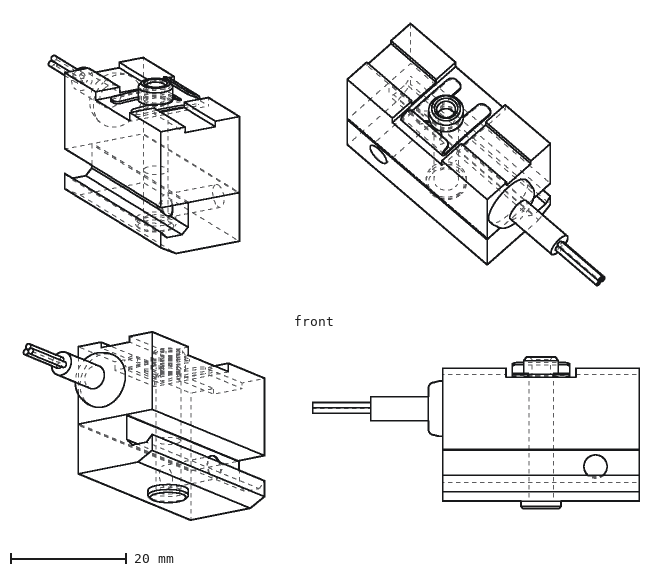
import cadquery as cq
import math


TOTAL_LENGTH = 56.5
BLOCK_LENGTH = 34.0
BLOCK_WIDTH = 15.6
BLOCK_HEIGHT = 23.0
BASE_HEIGHT = 9.0
BLOCK_START = TOTAL_LENGTH - BLOCK_LENGTH
BLOCK_CENTER_X = BLOCK_START + BLOCK_LENGTH / 2

NOTCH_LENGTH = 12.05
NOTCH_DEPTH = 1.5
GROOVE_WIDTH = 6.0
GROOVE_DEPTH = 1.0
NOTCH_FLOOR = BLOCK_HEIGHT - NOTCH_DEPTH

BASE_WALL_Y = 5.35
HOOK_FLOOR_Z = 3.3
HOOK_CHAMFER = 1.2
NOSE_RISE = 1.6
NOSE_RUN = 3.0
BASE_TOP_CHAMFER = 0.15

SCREW_Y = 8.5
SHANK_DIAMETER = 4.3
HEAD_DIAMETER = 6.0
HEAD_TOP_DIAMETER = 5.0
HEAD_CHAMFER_HEIGHT = 0.7
HEAD_PROJECTION = 2.0
HEAD_CLEARANCE = 0.5
SOCKET_DIAMETER = 3.2
SOCKET_RIM_DIAMETER = 4.0
SOCKET_DEPTH = 3.0
FOOT_DIAMETER = 7.0
FOOT_HEIGHT = 1.3
FOOT_CHAMFER = 0.4

POINT_DIAMETER = 4.0
POINT_X = 48.95
POINT_Z = 6.0
POINT_RECESS = 0.1

CLIP_WIDTH = 10.0
CLIP_THICKNESS = 0.4
CLIP_BACK_Y = 14.5
CLIP_FRONT_Y = 2.0
CLIP_BEND_RADIUS = 1.0
CLIP_ARCH = 0.3
CLIP_CORNER_RADIUS = 1.0
LIP_ANGLE = 23.0
LIP_LENGTH = 1.45
SLOT_FRONT_WIDTH = 4.5
WINDOW_BACK_Y = 12.4
WINDOW_SIDE_LENGTH = 0.7
WINDOW_TAPER = 0.85
WINDOW_FRONT_WIDTH = 2.0

CABLE_Y = 10.45
CABLE_DROP = 7.0
CABLE_Z = BLOCK_HEIGHT - CABLE_DROP
SHEATH_DIAMETER = 4.2
WIRE_DIAMETER = 1.0
WIRE_GAP = 0.03
WIRE_LENGTH = 10.0
SHEATH_END = 20.0
GROMMET_DIAMETER = 9.6
GROMMET_FACE_DIAMETER = 7.0
GROMMET_SHOULDER_DIAMETER = 9.15
GROMMET_SHOULDER = 1.0
GROMMET_RIM = 1.85


def make_housing():
    body = cq.Workplane("XY").box(
        BLOCK_LENGTH, BLOCK_WIDTH, BLOCK_HEIGHT - BASE_HEIGHT, centered=False
    ).translate((BLOCK_START, 0, BASE_HEIGHT))
    top_center = (BLOCK_CENTER_X, BLOCK_WIDTH / 2, BLOCK_HEIGHT)
    notch = cq.Workplane("XY").box(NOTCH_LENGTH, BLOCK_WIDTH, 2 * NOTCH_DEPTH).translate(top_center)
    groove = cq.Workplane("XY").box(BLOCK_LENGTH, GROOVE_WIDTH, 2 * GROOVE_DEPTH).translate(top_center)
    return body.cut(notch).cut(groove)


def make_base():
    profile = [
        (BLOCK_WIDTH, 0),
        (NOSE_RUN, 0),
        (0, NOSE_RISE),
        (0, HOOK_FLOOR_Z + HOOK_CHAMFER),
        (HOOK_CHAMFER, HOOK_FLOOR_Z),
        (BASE_WALL_Y - HOOK_CHAMFER, HOOK_FLOOR_Z),
        (BASE_WALL_Y, HOOK_FLOOR_Z + HOOK_CHAMFER),
        (BASE_WALL_Y, BASE_HEIGHT - BASE_TOP_CHAMFER),
        (BASE_WALL_Y + BASE_TOP_CHAMFER, BASE_HEIGHT),
        (BLOCK_WIDTH - BASE_TOP_CHAMFER, BASE_HEIGHT),
        (BLOCK_WIDTH, BASE_HEIGHT - BASE_TOP_CHAMFER),
    ]
    return cq.Workplane("YZ", origin=(BLOCK_START, 0, 0)).polyline(profile).close().extrude(BLOCK_LENGTH)


def make_screw():
    head_top = BLOCK_HEIGHT + HEAD_PROJECTION
    head_bottom = NOTCH_FLOOR + HEAD_CLEARANCE
    rim_depth = (SOCKET_RIM_DIAMETER - SOCKET_DIAMETER) / 2
    half_profile = [
        (0, -FOOT_HEIGHT),
        (FOOT_DIAMETER / 2 - FOOT_CHAMFER, -FOOT_HEIGHT),
        (FOOT_DIAMETER / 2, FOOT_CHAMFER - FOOT_HEIGHT),
        (FOOT_DIAMETER / 2, 0),
        (SHANK_DIAMETER / 2, 0),
        (SHANK_DIAMETER / 2, head_bottom),
        (HEAD_DIAMETER / 2, head_bottom),
        (HEAD_DIAMETER / 2, head_top - HEAD_CHAMFER_HEIGHT),
        (HEAD_TOP_DIAMETER / 2, head_top),
        (SOCKET_RIM_DIAMETER / 2, head_top),
        (SOCKET_DIAMETER / 2, head_top - rim_depth),
        (SOCKET_DIAMETER / 2, head_top - SOCKET_DEPTH),
        (0, head_top - SOCKET_DEPTH),
    ]
    screw = cq.Workplane("XZ").polyline(half_profile).close().revolve(360, (0, 0), (0, 1))
    return screw.translate((BLOCK_CENTER_X, SCREW_Y, 0))


def make_point_screw():
    """Set screw from the back face, with a 90 degree point; its cone starts just inside the hook wall."""
    radius = POINT_DIAMETER / 2
    cone_start_y = BASE_WALL_Y + POINT_RECESS
    half_profile = [
        (0, BLOCK_WIDTH),
        (radius, BLOCK_WIDTH),
        (radius, cone_start_y),
        (0, cone_start_y - radius),
    ]
    screw = cq.Workplane("XY").polyline(half_profile).close().revolve(360, (0, 0), (0, 1))
    return screw.translate((POINT_X, 0, POINT_Z))


def make_point_screw_hole():
    """Bore from the back face that opens in the hook wall."""
    hole = cq.Workplane("XZ", origin=(POINT_X, BLOCK_WIDTH, POINT_Z)).circle(POINT_DIAMETER / 2)
    return hole.extrude(BLOCK_WIDTH - BASE_WALL_Y)


def make_clip_strip():
    """Side profile: arched plate, hairpin bend at the back and a lip leaning over the plate."""
    inner_radius = CLIP_BEND_RADIUS - CLIP_THICKNESS
    bend_y = CLIP_BACK_Y - CLIP_BEND_RADIUS
    bend_z = NOTCH_FLOOR + CLIP_BEND_RADIUS
    plate_top = NOTCH_FLOOR + CLIP_THICKNESS
    arch_y = (CLIP_FRONT_Y + bend_y) / 2
    lip = math.radians(LIP_ANGLE)
    along = (-math.cos(lip), math.sin(lip))
    outward = (math.sin(lip), math.cos(lip))

    def lip_point(radius, distance):
        return (
            bend_y + radius * outward[0] + distance * along[0],
            bend_z + radius * outward[1] + distance * along[1],
        )

    strip = (
        cq.Workplane("YZ", origin=(BLOCK_CENTER_X - CLIP_WIDTH / 2, 0, 0))
        .moveTo(CLIP_FRONT_Y, NOTCH_FLOOR)
        .threePointArc((arch_y, NOTCH_FLOOR + CLIP_ARCH), (bend_y, NOTCH_FLOOR))
        .threePointArc((CLIP_BACK_Y, bend_z), lip_point(CLIP_BEND_RADIUS, 0))
        .lineTo(*lip_point(CLIP_BEND_RADIUS, LIP_LENGTH))
        .lineTo(*lip_point(inner_radius, LIP_LENGTH))
        .lineTo(*lip_point(inner_radius, 0))
        .threePointArc((bend_y + inner_radius, bend_z), (bend_y, plate_top))
        .threePointArc((arch_y, plate_top + CLIP_ARCH), (CLIP_FRONT_Y, plate_top))
        .close()
        .extrude(CLIP_WIDTH)
    )
    lip_tip = lip_point(CLIP_BEND_RADIUS - CLIP_THICKNESS / 2, LIP_LENGTH)
    corner_picker = cq.selectors.BoxSelector(
        (BLOCK_START, lip_tip[0] - CLIP_THICKNESS / 2, lip_tip[1] - CLIP_THICKNESS / 2),
        (TOTAL_LENGTH, lip_tip[0] + CLIP_THICKNESS / 2, lip_tip[1] + CLIP_THICKNESS / 2),
    )
    return strip.edges("not |X").edges(corner_picker).fillet(CLIP_CORNER_RADIUS)


def make_clip():
    cut_height = 2 * CLIP_THICKNESS + CLIP_ARCH
    sketch_plane = cq.Workplane("XY", origin=(BLOCK_CENTER_X, 0, NOTCH_FLOOR))
    shank_radius = SHANK_DIAMETER / 2
    slot = (
        sketch_plane.moveTo(-SLOT_FRONT_WIDTH / 2, CLIP_FRONT_Y)
        .lineTo(-shank_radius, SCREW_Y)
        .threePointArc((0, SCREW_Y + shank_radius), (shank_radius, SCREW_Y))
        .lineTo(SLOT_FRONT_WIDTH / 2, CLIP_FRONT_Y)
        .close()
        .extrude(cut_height)
    )
    window_side_y = WINDOW_BACK_Y - WINDOW_SIDE_LENGTH
    window = (
        sketch_plane.moveTo(-shank_radius, WINDOW_BACK_Y)
        .lineTo(-shank_radius, window_side_y)
        .lineTo(-WINDOW_FRONT_WIDTH / 2, window_side_y - WINDOW_TAPER)
        .lineTo(WINDOW_FRONT_WIDTH / 2, window_side_y - WINDOW_TAPER)
        .lineTo(shank_radius, window_side_y)
        .lineTo(shank_radius, WINDOW_BACK_Y)
        .close()
        .extrude(cut_height)
    )
    clip = make_clip_strip().cut(slot).cut(window)
    return clip.faces("<Y").edges("not |X").fillet(CLIP_CORNER_RADIUS)


def make_cable():
    """Grommet, sheath and three bare wires, made about the X axis and moved into place."""
    shoulder_x = SHEATH_END + GROMMET_SHOULDER
    face_radius = GROMMET_FACE_DIAMETER / 2
    shoulder_radius = GROMMET_SHOULDER_DIAMETER / 2
    grommet = (
        cq.Workplane("XY")
        .moveTo(SHEATH_END, 0)
        .lineTo(SHEATH_END, face_radius)
        .threePointArc(
            (
                SHEATH_END + GROMMET_SHOULDER * (1 - math.sqrt(0.5)),
                face_radius + (shoulder_radius - face_radius) * math.sqrt(0.5),
            ),
            (shoulder_x, shoulder_radius),
        )
        .lineTo(SHEATH_END + GROMMET_RIM, GROMMET_DIAMETER / 2)
        .lineTo(BLOCK_START, GROMMET_DIAMETER / 2)
        .lineTo(BLOCK_START, 0)
        .close()
        .revolve(360, (0, 0), (1, 0))
    )
    sheath = (
        cq.Workplane("YZ", origin=(WIRE_LENGTH, 0, 0))
        .circle(SHEATH_DIAMETER / 2)
        .extrude(SHEATH_END - WIRE_LENGTH)
    )
    cable = grommet.union(sheath)
    wire_offset = (WIRE_DIAMETER + WIRE_GAP) / math.sqrt(3)
    for angle in (90, 210, 330):
        wire_y = wire_offset * math.cos(math.radians(angle))
        wire_z = wire_offset * math.sin(math.radians(angle))
        wire = (
            cq.Workplane("YZ").center(wire_y, wire_z).circle(WIRE_DIAMETER / 2).extrude(WIRE_LENGTH)
        )
        cable = cable.union(wire)
    return cable.translate((0, CABLE_Y, CABLE_Z))


screw = make_screw()
point_screw = make_point_screw()
clip = make_clip().cut(screw)
cable = make_cable()
housing = make_housing().cut(screw)
base = make_base().cut(screw).cut(make_point_screw_hole()).cut(point_screw)

result = cq.Compound.makeCompound(
    [housing.val(), base.val(), screw.val(), point_screw.val(), clip.val(), cable.val()]
)